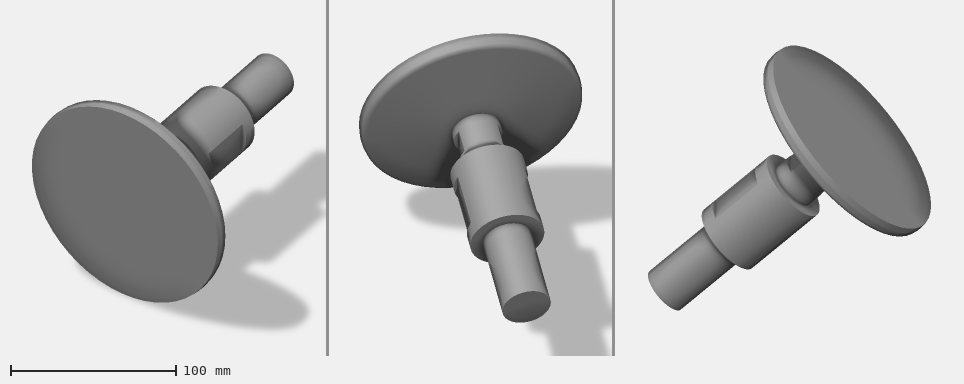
import cadquery as cq
import math

total_length = 158.0

foot_diameter = 138.0
rim_draft = 0.5
parting_height = 4.1
rim_height = 7.1
shoulder_radius = 3.0
cone_height = 19.0

stem_diameter = 30.0
stem_across_flats = 24.0
stem_flat_start = 25.0
stem_flat_end = 40.1

sleeve_diameter = 46.0
sleeve_across_flats = 41.0
sleeve_start = 49.8
sleeve_end = 104.8
sleeve_flat_start = 59.5
sleeve_flat_end = 95.6


def cylinder(diameter, start, end):
    """Cylinder along Y between two heights."""
    return (
        cq.Workplane("XZ", origin=(0, start, 0))
        .circle(diameter / 2)
        .extrude(start - end)
    )


def cut_wrench_flats(body, diameter, across_flats, start, end):
    """Cut two opposite flats, facing -X and +X, between two heights."""
    flat_depth = (diameter - across_flats) / 2
    for side in (-1, 1):
        cutter = (
            cq.Workplane("XY")
            .box(2 * flat_depth, end - start, diameter)
            .translate((side * diameter / 2, (start + end) / 2, 0))
        )
        body = body.cut(cutter)
    return body


def make_foot():
    """Foot plate: drafted rim, rounded shoulder and a shallow cone."""
    stem_radius = stem_diameter / 2
    widest_radius = foot_diameter / 2
    rim_radius = widest_radius - rim_draft
    shoulder_x = rim_radius - shoulder_radius

    run = shoulder_x - stem_radius
    rise = cone_height - rim_height
    tangent_angle = math.atan2(rise, -run) - math.acos(shoulder_radius / math.hypot(run, rise))
    middle_angle = tangent_angle / 2

    def on_shoulder(angle):
        return (
            shoulder_x + shoulder_radius * math.cos(angle),
            rim_height + shoulder_radius * math.sin(angle),
        )

    return (
        cq.Workplane("XY")
        .moveTo(0, 0)
        .lineTo(rim_radius, 0)
        .lineTo(widest_radius, parting_height)
        .lineTo(rim_radius, rim_height)
        .threePointArc(on_shoulder(middle_angle), on_shoulder(tangent_angle))
        .lineTo(stem_radius, cone_height)
        .lineTo(0, cone_height)
        .close()
        .revolve(360, (0, 0, 0), (0, 1, 0))
    )


def make_stem():
    """Round stem standing on the foot, with wrench flats near its lower end."""
    stem = cylinder(stem_diameter, cone_height, total_length)
    return cut_wrench_flats(
        stem, stem_diameter, stem_across_flats, stem_flat_start, stem_flat_end
    )


def make_footed_stem():
    """Foot plate and stem in one piece."""
    return make_foot().union(make_stem())


def make_sleeve():
    """Sleeve with a bore that fits the stem and two wrench flats."""
    sleeve = cylinder(sleeve_diameter, sleeve_start, sleeve_end)
    bore = cylinder(stem_diameter, sleeve_start, sleeve_end)
    return cut_wrench_flats(
        sleeve.cut(bore), sleeve_diameter, sleeve_across_flats, sleeve_flat_start, sleeve_flat_end
    )


footed_stem = make_footed_stem()
sleeve = make_sleeve()

result = cq.Compound.makeCompound([footed_stem.val(), sleeve.val()])